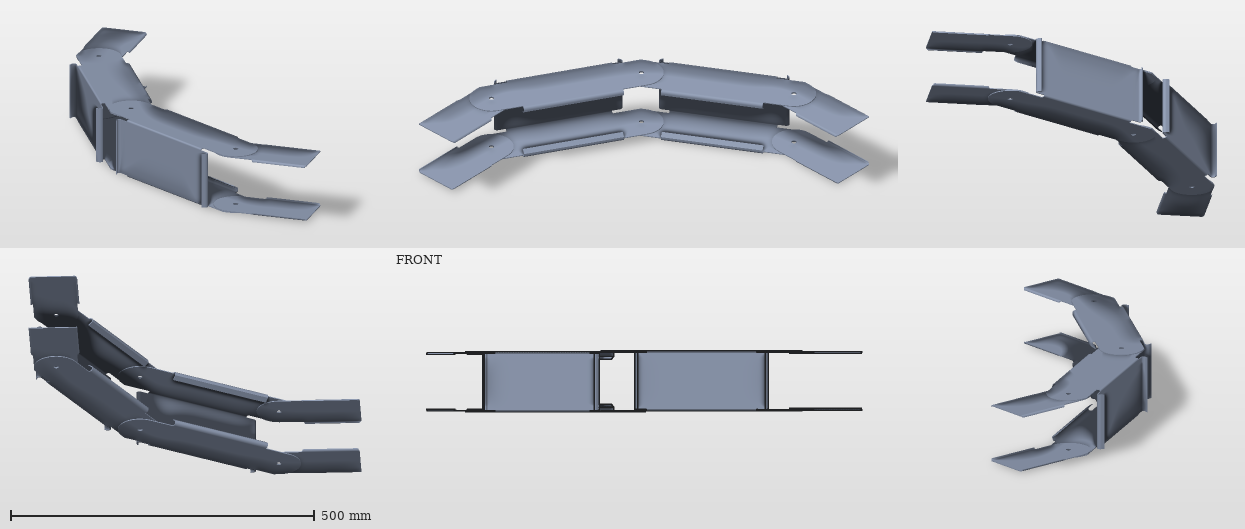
import cadquery as cq
import math

sheet = 1.5
joint_angle = 30.0
hole_diameter = 8.5
plate_half_width = 36.5

pitch = 258.5
link_height = 100.0
link_half_width = 44.0
middle_start = 38.0
wall_bend = 3.0
lip_bend = 5.0
lip_depth = 7.0
lip_return = 8.5
return_angle = 55.0
lip_start = 43.0
curl_radius = 5.0
curl_center = 24.0
curl_tail = 5.0
tail_angle = 45.0

end_length = 135.0
end_lip_start = 39.0
end_lip_bend = 3.5

middle_length = pitch - 2 * middle_start


def hinge_plate_outline():
    """Link plate: two rounded ends, with a corner on the outer (-Y) side of each."""
    r = plate_half_width
    bend = math.radians(joint_angle)
    corner = r * math.tan(bend / 2)
    tangent_x = r * math.sin(bend)
    tangent_y = -r * math.cos(bend)
    return (
        cq.Workplane("XY")
        .moveTo(-corner, -r)
        .lineTo(pitch + corner, -r)
        .lineTo(pitch + tangent_x, tangent_y)
        .threePointArc((pitch + r, 0), (pitch, r))
        .lineTo(0, r)
        .threePointArc((-r, 0), (-tangent_x, tangent_y))
        .close()
    )


def rounded_bar(half_width, height, outer_bend, inner_bend):
    """Bar along the middle section, rounded along its -Y and +Y edges."""
    return (
        cq.Workplane("XY")
        .box(middle_length, 2 * half_width, height)
        .edges("|X and <Y").fillet(outer_bend)
        .edges("|X and >Y").fillet(inner_bend)
        .translate((pitch / 2, 0, link_height / 2))
    )


def lip_return_strip():
    """Edge of the lower lip, folded back towards the inside of the channel."""
    fold = math.radians(return_angle)
    lip_inside = link_half_width - sheet
    end_y = lip_inside - lip_return * math.sin(fold)
    end_z = lip_depth + lip_return * math.cos(fold)
    return (
        cq.Workplane("YZ")
        .polyline([
            (lip_inside, lip_depth),
            (link_half_width, lip_depth),
            (link_half_width, lip_depth + sheet * math.tan(fold / 2)),
            (end_y + sheet * math.cos(fold), end_z + sheet * math.sin(fold)),
            (end_y, end_z),
        ])
        .close()
        .extrude(pitch - 2 * lip_start)
        .translate((lip_start, 0, 0))
    )


def middle_section():
    """C-shaped channel: outer wall on -Y, two lips with folded edges on +Y."""
    outside = rounded_bar(link_half_width, link_height, wall_bend, lip_bend)
    inside_half_width = link_half_width - sheet
    inside_height = link_height - 2 * sheet
    inside = rounded_bar(inside_half_width, inside_height, wall_bend - sheet, lip_bend - sheet)
    opening = (
        cq.Workplane("XY")
        .box(middle_length, link_half_width, link_height - 2 * lip_depth)
        .translate((pitch / 2, link_half_width, link_height / 2))
    )
    lip_ends = (
        cq.Workplane("XY")
        .pushPoints([(middle_start, link_half_width), (pitch - middle_start, link_half_width)])
        .box(2 * (lip_start - middle_start), 2 * (link_half_width - plate_half_width), 2 * link_height)
    )
    lower_return = lip_return_strip()
    upper_return = lower_return.mirror("XY").translate((0, 0, link_height))
    return outside.cut(inside).cut(opening).cut(lip_ends).union(lower_return).union(upper_return)


def wall_curl():
    """Extension of the wall at the first hinge, curled outwards and ending in a straight tail."""
    wall_inside = -link_half_width + sheet
    axis_y = wall_inside - curl_radius
    inner_radius = curl_radius - sheet
    fold = math.radians(tail_angle)
    tail_x = curl_tail * math.sin(fold)
    tail_y = -curl_tail * math.cos(fold)

    def on_curl(radius):
        """Point where the arc of this radius meets the tail."""
        return curl_center - radius * math.cos(fold), axis_y - radius * math.sin(fold)

    outer_x, outer_y = on_curl(curl_radius)
    inner_x, inner_y = on_curl(inner_radius)
    return (
        cq.Workplane("XY")
        .moveTo(middle_start, wall_inside)
        .lineTo(curl_center, wall_inside)
        .threePointArc((curl_center - curl_radius, axis_y), (outer_x, outer_y))
        .lineTo(outer_x + tail_x, outer_y + tail_y)
        .lineTo(inner_x + tail_x, inner_y + tail_y)
        .lineTo(inner_x, inner_y)
        .threePointArc((curl_center - inner_radius, axis_y), (curl_center, axis_y + inner_radius))
        .lineTo(middle_start, -link_half_width)
        .close()
        .extrude(link_height - 2 * wall_bend)
        .translate((0, 0, wall_bend))
    )


def make_link():
    """Channel link with its first hinge hole on the Z axis and its length along +X."""
    plate = hinge_plate_outline().extrude(sheet)
    curl = wall_curl()
    link = (
        middle_section()
        .union(plate)
        .union(plate.translate((0, 0, link_height - sheet)))
        .union(curl)
        .union(curl.mirror("YZ").translate((pitch, 0, 0)))
    )
    holes = cq.Workplane("XY").pushPoints([(0, 0), (pitch, 0)]).circle(hole_diameter / 2)
    return link.cut(holes.extrude(link_height))


def end_lip():
    """Quarter-round lip hanging from the +Y edge of a plate, its ends cut back at 45 degrees."""
    inner_radius = end_lip_bend - sheet
    diagonal = math.sqrt(0.5)
    bend_y = plate_half_width
    bend_z = sheet - end_lip_bend
    lip = (
        cq.Workplane("YZ")
        .moveTo(bend_y, sheet)
        .threePointArc(
            (bend_y + end_lip_bend * diagonal, bend_z + end_lip_bend * diagonal),
            (bend_y + end_lip_bend, bend_z),
        )
        .lineTo(bend_y + inner_radius, bend_z)
        .threePointArc((bend_y + inner_radius * diagonal, bend_z + inner_radius * diagonal), (bend_y, 0))
        .close()
        .extrude(end_length - end_lip_start)
        .translate((end_lip_start, 0, 0))
    )
    kept = (
        cq.Workplane("XY")
        .polyline([
            (end_lip_start, bend_y),
            (end_length, bend_y),
            (end_length - end_lip_bend, bend_y + end_lip_bend),
            (end_lip_start + end_lip_bend, bend_y + end_lip_bend),
        ])
        .close()
        .extrude(2 * end_lip_bend, both=True)
    )
    return lip.intersect(kept)


def make_end_plate():
    """Top end plate: underside at Z = 0, hinge hole on the Z axis, free end along +X."""
    r = plate_half_width
    lip = end_lip()
    return (
        cq.Workplane("XY")
        .moveTo(0, -r)
        .lineTo(end_length, -r)
        .lineTo(end_length, r)
        .lineTo(0, r)
        .threePointArc((-r, 0), (0, -r))
        .close()
        .extrude(sheet)
        .union(lip)
        .union(lip.mirror("XZ"))
        .cut(cq.Workplane("XY").circle(hole_diameter / 2).extrude(sheet))
    )


def turned(body, angle):
    """Body turned about the Z axis, in degrees."""
    return body.rotate((0, 0, 0), (0, 0, 1), angle)


right_link = make_link().translate((0, 0, sheet))
left_end_x = -pitch * math.cos(math.radians(joint_angle))
left_end_y = pitch * math.sin(math.radians(joint_angle))
left_link = turned(make_link(), -joint_angle).translate((left_end_x, left_end_y, 0))

end_plates = []
for x, y, link_base, direction in [
    (left_end_x, left_end_y, 0, 180 - 2 * joint_angle),
    (pitch, 0, sheet, joint_angle),
]:
    top_plate = make_end_plate()
    bottom_plate = top_plate.mirror("XY")
    top_z = link_base + link_height - 2 * sheet
    bottom_z = link_base + 2 * sheet
    end_plates.append(turned(top_plate, direction).translate((x, y, top_z)))
    end_plates.append(turned(bottom_plate, direction).translate((x, y, bottom_z)))

result = cq.Compound.makeCompound([
    left_link.val(),
    right_link.val(),
    *[plate.val() for plate in end_plates],
])